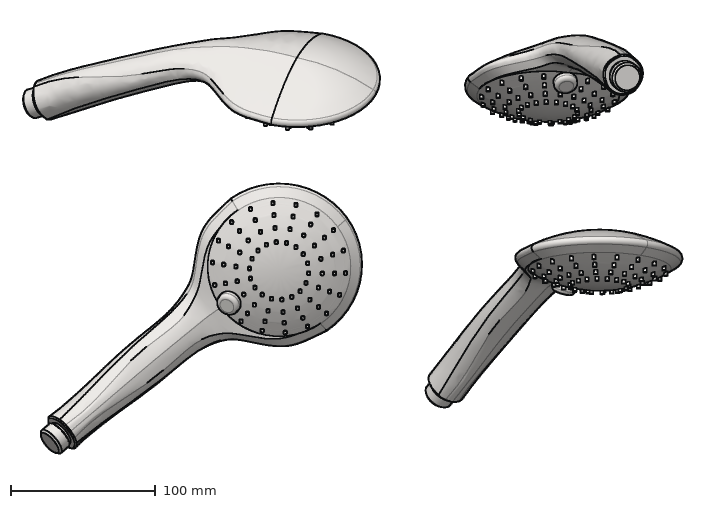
import cadquery as cq
import math


head_radius = 57.43
rim_height = 0.5
crown_height = 18.5
crown_mid_radius = 28.1
crown_mid_height = 14.3
shoulder_radius = 55.3
shoulder_height = 3.3
lower_rim_radius = 56.0
lower_rim_height = -2.3
floor_radius = 49.5
floor_height = -6.7

face_depth = 13.3
face_root = 1.3
nozzle_radius = 1.3
nozzle_height = 2.3
nozzle_root = 2.5
nozzles_per_ring = 18
nozzle_ring_radii = (46.0, 38.5, 30.0, 20.5)

button_x = -42.5
button_z = -11.8
button_tilt = 28.0
button_radius = 8.2
button_height = 4.0
button_root = 3.8
button_round = 3.0

handle_end_x = -184.32
handle_end_z = -55.5
handle_end_radius = 14.3
handle_tilt = 29.0
handle_chamfer = 1.0
neck_radius = 9.2
neck_length = 2.3
connector_radius = 10.35
connector_length = 11.3
connector_root = 2.5
connector_chamfer = 1.5


def oval_half(half_width, half_height, shoulder_angle, lower_angle):
    """Half outline of an oval, as (start, middle, end) arcs split at angles from the top."""
    floor_angle = (lower_angle + 180) / 2
    stops = (0, shoulder_angle, lower_angle, floor_angle, 180)

    def point(angle):
        turn = math.radians(angle)
        return half_width * math.sin(turn), half_height * math.cos(turn)

    return [(point(a), point((a + b) / 2), point(b)) for a, b in zip(stops, stops[1:])]


def rimmed_half(crown, crown_mid, shoulder, rim, lower, floor, keel):
    """Half outline of a domed section with a rounded rim and a bevel down to the floor.

    Points are (distance from the middle, height); crown and keel are heights on the middle.
    """
    bevel_middle = ((lower[0] + floor[0]) / 2, (lower[1] + floor[1]) / 2)
    floor_middle = (floor[0] / 2, (floor[1] + keel) / 2)
    return [
        ((0, crown), crown_mid, shoulder),
        (shoulder, rim, lower),
        (lower, bevel_middle, floor),
        (floor, floor_middle, (0, keel)),
    ]


def curve_through(start, middle, end):
    """Parabolic edge from start to end that passes through middle."""
    control = middle * 2 - (start + end) * 0.5
    return cq.Edge.makeBezier([start, control, end])


def section_wire(x, z, tilt, half):
    """Closed symmetric section, in a plane across the handle that leans by tilt degrees."""
    lean = math.radians(tilt)

    def place(point, side):
        across, up = point
        return cq.Vector(x - up * math.sin(lean), side * across, z + up * math.cos(lean))

    right = [curve_through(*[place(p, 1) for p in arc]) for arc in half]
    left = [curve_through(*[place(p, -1) for p in reversed(arc)]) for arc in reversed(half)]
    return cq.Wire.assembleEdges(right + left)


def along(tilt):
    """Plane normal of a downward direction, leaning from -X by tilt degrees."""
    lean = math.radians(tilt)
    return cq.Vector(-math.cos(lean), 0, -math.sin(lean))


def end_face(normal):
    """Selector of the faces lying farthest along a direction."""
    return cq.selectors.DirectionMinMaxSelector(normal)


def make_handle_and_neck():
    """Loft of the handle, the neck and the half of the head next to it."""
    end = along(handle_tilt)
    end_start_x = handle_end_x - end.x * handle_chamfer
    end_start_z = handle_end_z - end.z * handle_chamfer
    end_radius = handle_end_radius - handle_chamfer
    end_split = (16, 135)
    handle_sections = [
        (end_start_x, end_start_z, handle_tilt, (handle_end_radius, handle_end_radius, *end_split)),
        (-135.3, -28.52, 27.5, (15.5, 13.3, 43, 116)),
        (-99.0, -10.7, 26, (16.6, 12.15, 63, 108)),
        (-75.5, -0.8, 22, (18.2, 11.5, 66, 107)),
    ]
    head_sections = [
        (-61.5, 12, (14.3, (12.3, 12.5), (21.0, 6.7), (22.8, 2.8), (21.2, -1.0), (15.9, -5.6), -7.5)),
        (-51.2, 5, (17.0, (15.3, 13.8), (28.5, 5.6), (30.5, 2.0), (29.0, -1.3), (23.0, -6.1), -7.0)),
        (-35.8, 0, (19.0, (22.3, 14.3), (43.5, 4.0), (45.8, 1.0), (44.3, -2.0), (37.3, -6.7), -6.7)),
        (-18, 0, (19.57, (26.5, 14.7), (52.5, 3.3), (54.5, 0.5), (53.0, -2.3), (46.0, -6.7), -6.7)),
        (0, 0, (crown_height, (crown_mid_radius, crown_mid_height), (shoulder_radius, shoulder_height),
                (head_radius, rim_height), (lower_rim_radius, lower_rim_height),
                (floor_radius, floor_height), floor_height)),
        (18, 0, (16.5, (26.5, 12.8), (52.5, 3.3), (54.5, 0.5), (53.0, -2.3), (46.0, -6.7), -6.7)),
        (35.8, 0, (11.8, (22.3, 9.7), (42.7, 3.3), (44.8, 0.5), (43.2, -2.3), (36.3, -6.7), -6.7)),
    ]
    wires = [section_wire(x, z, tilt, oval_half(*oval)) for x, z, tilt, oval in handle_sections]
    wires += [section_wire(x, 0, tilt, rimmed_half(*rimmed)) for x, tilt, rimmed in head_sections]
    loft = cq.Workplane(cq.occ_impl.shapes.loft(*wires, cap=True))
    beyond_axis = cq.Workplane("XY").box(head_radius, 3 * head_radius, 3 * head_radius,
                                         centered=(False, True, True))
    end_outline = section_wire(handle_end_x, handle_end_z, handle_tilt,
                               oval_half(end_radius, end_radius, *end_split))
    end_chamfer = cq.Solid.makeLoft([end_outline, wires[0]], True)
    return loft.cut(beyond_axis).union(cq.Workplane(end_chamfer), clean=False)


def make_far_half():
    """Half of the head beyond its axis, as two mirrored quarter turns."""
    profile = cq.Workplane("XZ").moveTo(0, floor_height).lineTo(floor_radius, floor_height)
    profile = profile.lineTo(lower_rim_radius, lower_rim_height)
    profile = profile.threePointArc((head_radius, rim_height), (shoulder_radius, shoulder_height))
    profile = profile.threePointArc((crown_mid_radius, crown_mid_height), (0, crown_height)).close()
    quarter = profile.revolve(90, (0, 0), (0, 1))
    return quarter.union(quarter.mirror("XZ"), clean=False)


face_sphere_radius = (floor_radius ** 2 + face_depth ** 2) / (2 * face_depth)


def face_height(radius):
    """Height of the domed spray face at a distance from the head axis."""
    sphere_centre = floor_height - face_depth + face_sphere_radius
    return sphere_centre - math.sqrt(face_sphere_radius ** 2 - radius ** 2)


def make_spray_face():
    """Shallow dome under the head, rooted a little way into it."""
    top = floor_height + face_root
    arc_middle = (floor_radius / 2, face_height(floor_radius / 2))
    face = cq.Workplane("XZ").moveTo(0, top).lineTo(floor_radius, top).lineTo(floor_radius, floor_height)
    face = face.threePointArc(arc_middle, (0, face_height(0))).close()
    return face.revolve(360, (0, 0), (0, 1))


def make_nozzles():
    """Concentric rings of short upright pins; a pin lies on the X axis in each ring."""
    pins = cq.Workplane("XY")
    for ring in nozzle_ring_radii:
        tips = cq.Workplane("XY", origin=(0, 0, face_height(ring) - nozzle_height))
        tips = tips.polarArray(ring, 0, 360, nozzles_per_ring).circle(nozzle_radius)
        pins = pins.add(tips.extrude(nozzle_height + nozzle_root, combine=False))
    return pins


def make_button():
    """Round button leaning towards the handle, with a rounded outer edge."""
    normal = along(90 - button_tilt)
    plane = cq.Plane((button_x, 0, button_z), (0, 1, 0), normal)
    button = cq.Workplane(plane).workplane(offset=-button_root).circle(button_radius)
    button = button.extrude(button_root + button_height)
    return button.faces(end_face(normal)).edges().fillet(button_round)


def make_connector():
    """Hose connector on a slimmer neck, along the handle axis."""
    normal = along(handle_tilt)
    plane = cq.Plane((handle_end_x, 0, handle_end_z), (0, 1, 0), normal)
    neck = cq.Workplane(plane).workplane(offset=-connector_root).circle(neck_radius)
    neck = neck.extrude(connector_root + neck_length)
    body = cq.Workplane(plane).workplane(offset=neck_length).circle(connector_radius)
    body = body.extrude(connector_length - neck_length)
    body = body.faces(end_face(normal)).chamfer(connector_chamfer)
    return neck.union(body)


shell = make_handle_and_neck().union(make_far_half(), clean=False)
spray_face = make_spray_face().union(make_nozzles(), clean=False).union(make_button(), clean=False)
result = shell.union(spray_face, clean=False).union(make_connector(), clean=False)